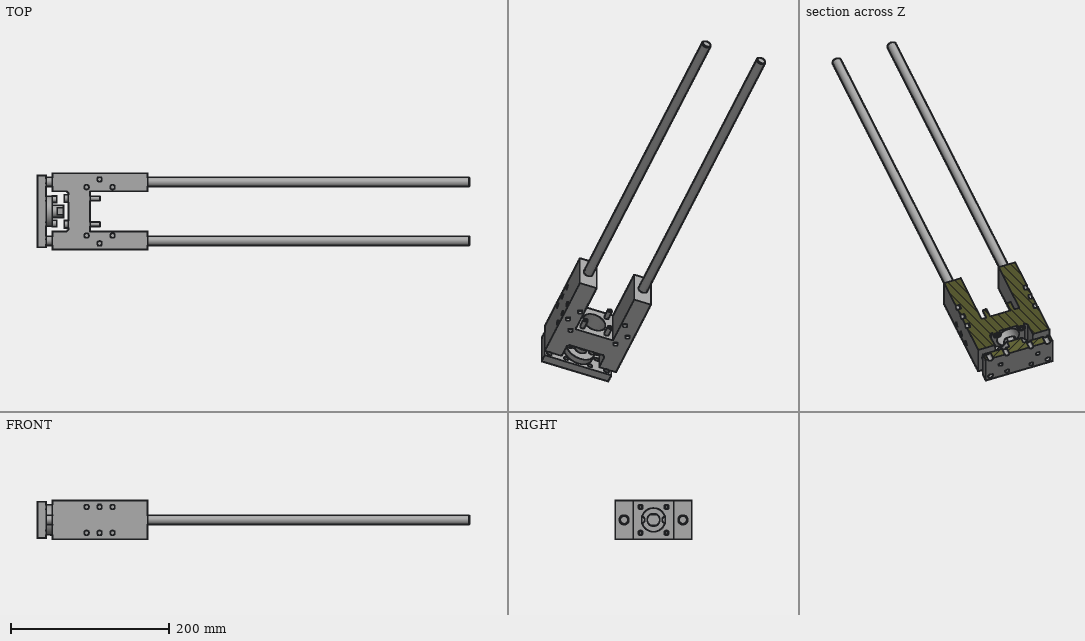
import cadquery as cq

total_length = 547.0

plate_thickness = 11.0
plate_width = 91.0
plate_height = 46.0
corner_hole_dia = 6.5
plate_hole_dia = 5.5
corner_hole_y = 39.0
middle_hole_y = 25.0

bolt_offset = 16.5

rod_dia = 12.0
rod_y = 37.0
rod_chamfer = 1.0

flange_dia = 38.5
flange_end = 19.0
coupling_screw_y = 15.5
coupling_head_dia = 9.0
coupling_head_height = 5.5
stud_dia = 16.0
stud_end = 33.5
stud_flats_start = 25.0
stud_across_flats = 13.0

housing_start = 19.0
housing_length = 120.5
housing_width = 97.0
housing_height = 49.0
opening_width = 51.0
web_front = 39.5
web_back = 67.0
corner_chamfer = 3.0
bore_dia = 30.0
housing_end = housing_start + housing_length

mount_hole_dia = 6.0
mount_hole_depth = 5.0
mount_hole_x = 79.0
mount_hole_pitch = 16.5
top_outer_hole_y = 40.5
top_inner_hole_y = 30.5

screw_dia = 6.0
screw_head_dia = 10.0
screw_head_height = 5.5
screw_socket_dia = 5.0
screw_socket_depth = 3.5
screw_overhang = 13.0
screw_tip_chamfer = 1.0

signs = (-1, 1)


def x_cylinder(diameter, x_start, x_end, centers=((0, 0),)):
    """Cylinders along X between two X positions, centred on the given (y, z) points."""
    return (
        cq.Workplane("YZ", origin=(x_start, 0, 0))
        .pushPoints(list(centers))
        .circle(diameter / 2)
        .extrude(x_end - x_start)
    )


def x_block(x_start, x_end, width, height):
    """Block between two X positions, centred on the X axis."""
    return cq.Workplane("YZ", origin=(x_start, 0, 0)).rect(width, height).extrude(x_end - x_start)


rod_centers = [(side * rod_y, 0) for side in signs]
bolt_centers = [(y * bolt_offset, z * bolt_offset) for y in signs for z in signs]


def make_plate():
    corner_centers = [(y * corner_hole_y, z * bolt_offset) for y in signs for z in signs]
    middle_centers = [(side * middle_hole_y, 0) for side in signs]
    plate = x_block(0, plate_thickness, plate_width, plate_height)
    plate = plate.cut(x_cylinder(corner_hole_dia, 0, plate_thickness, corner_centers))
    return plate.cut(x_cylinder(plate_hole_dia, 0, plate_thickness, bolt_centers + middle_centers))


def make_coupling():
    screw_centers = [(side * coupling_screw_y, 0) for side in signs]
    flange = x_cylinder(flange_dia, plate_thickness, flange_end)
    heads = x_cylinder(coupling_head_dia, flange_end, flange_end + coupling_head_height, screw_centers)
    round_stud = x_cylinder(stud_dia, flange_end, stud_flats_start)
    flat_stud = x_cylinder(stud_dia, stud_flats_start, stud_end)
    flat_stud = flat_stud.intersect(x_block(stud_flats_start, stud_end, stud_dia, stud_across_flats))
    return flange.union(heads).union(round_stud).union(flat_stud)


def make_slide():
    """Moving body: front plate, coupling and the two guide rods."""
    rods = x_cylinder(rod_dia, plate_thickness, total_length, rod_centers)
    rods = rods.faces(">X").chamfer(rod_chamfer)
    return make_plate().union(rods).union(make_coupling())


def make_housing_block():
    block = x_block(housing_start, housing_end, housing_width, housing_height)
    front_opening = x_block(housing_start, web_front, opening_width, housing_height)
    front_opening = front_opening.edges("|Z and >X").chamfer(corner_chamfer)
    rear_opening = x_block(web_back, housing_end, opening_width, housing_height)
    bore = x_cylinder(bore_dia, web_front, web_back)
    rod_bores = x_cylinder(rod_dia, housing_start, housing_end, rod_centers)
    return block.cut(front_opening).cut(rear_opening).cut(bore).cut(rod_bores)


def drill_top_and_bottom(block):
    outer = [(mount_hole_x, side * top_outer_hole_y) for side in signs]
    inner = [(mount_hole_x + x * mount_hole_pitch, y * top_inner_hole_y) for x in signs for y in signs]
    for side in signs:
        holes = (
            cq.Workplane("XY", origin=(0, 0, side * housing_height / 2))
            .pushPoints(outer + inner)
            .circle(mount_hole_dia / 2)
            .extrude(-side * mount_hole_depth)
        )
        block = block.cut(holes)
    return block


def drill_sides(block):
    centers = [(mount_hole_x + i * mount_hole_pitch, z * bolt_offset) for i in (-1, 0, 1) for z in signs]
    for side in signs:
        holes = (
            cq.Workplane("XZ", origin=(0, side * housing_width / 2, 0))
            .pushPoints(centers)
            .circle(mount_hole_dia / 2)
            .extrude(side * mount_hole_depth)
        )
        block = block.cut(holes)
    return block


def make_screws():
    """Four socket-head screws through the web, with their tips free behind it."""
    head_face = web_front - screw_head_height
    shanks = x_cylinder(screw_dia, web_front, web_back + screw_overhang, bolt_centers)
    shanks = shanks.faces(">X").chamfer(screw_tip_chamfer)
    heads = x_cylinder(screw_head_dia, head_face, web_front, bolt_centers)
    sockets = x_cylinder(screw_socket_dia, head_face, head_face + screw_socket_depth, bolt_centers)
    return heads.cut(sockets).union(shanks)


def make_housing():
    """Fixed H-shaped body that guides the rods, joined with its screws."""
    block = drill_sides(drill_top_and_bottom(make_housing_block()))
    return block.union(make_screws())


slide = make_slide()
housing = make_housing()

result = cq.Compound.makeCompound([slide.val(), housing.val()])